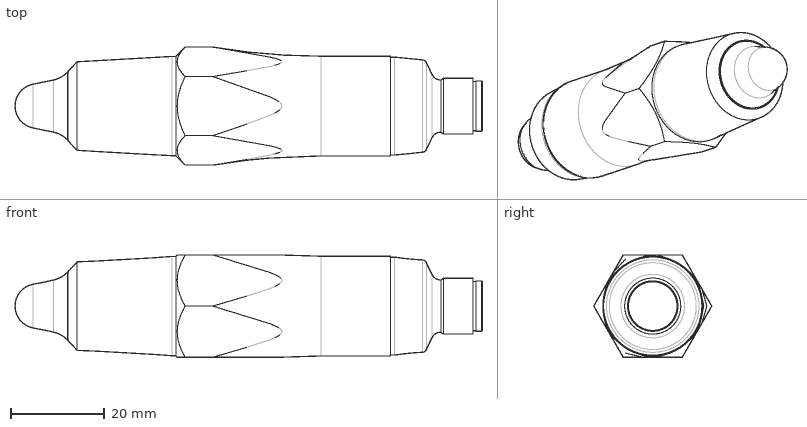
import cadquery as cq
import math

TOTAL_LENGTH = 100.2

DOME_RADIUS = 4.8
NOSE_HALF_ANGLE = math.radians(11.5)
NOSE_CONE_END = 8.2
FLARE_END = 11.2
SHANK_RADIUS = 14.5 / 2
SHANK_LENGTH = 12.0
SHANK_END = FLARE_END + SHANK_LENGTH

MOUTH_X = 11.4
MOUTH_RADIUS = 15.0 / 2
TAPER_START = 13.3
TAPER_START_RADIUS = 19.0 / 2
COLLAR_RADIUS = 21.3 / 2
FRONT_COLLAR_START = 33.7
HEX_START = 34.5

HEX_SIDES = 6
HEX_ACROSS_FLATS = 22.0
HEX_CORNER_RADIUS = HEX_ACROSS_FLATS / 2 / math.cos(math.pi / HEX_SIDES)
HEX_CHAMFER = HEX_CORNER_RADIUS - COLLAR_RADIUS
RUNOUT_START = 42.4
RUNOUT_END = 65.6

BARREL_RADIUS = 10.7
BARREL_END = 80.5
REAR_COLLAR_RADIUS = 10.5
REAR_COLLAR_END = 81.4

SHOULDER_START = 87.4
SHOULDER_START_RADIUS = 9.9
SHOULDER_CONE_START = 88.2
SHOULDER_CONE_START_RADIUS = 9.3
SHOULDER_CONE_END = 89.4
SHOULDER_CONE_END_RADIUS = 13.6 / 2
NECK_X = 91.3
NECK_RADIUS = 5.6

RING_RADIUS = 12.0 / 2
RING_START = 91.8
RING_END = 98.2
GROOVE_RADIUS = 10.6 / 2
GROOVE_END = 98.8
SPIGOT_RADIUS = 10.8 / 2
SPIGOT_CHAMFER = 0.2


def revolve_about_axis(profile):
    """Turn a closed half outline, drawn as (x, radius), about the X axis."""
    return profile.close().revolve(360, (0, 0, 0), (1, 0, 0))


def make_nose():
    dome_middle_angle = (math.pi / 2 - NOSE_HALF_ANGLE) / 2
    dome_middle = (
        DOME_RADIUS * (1 - math.cos(dome_middle_angle)),
        DOME_RADIUS * math.sin(dome_middle_angle),
    )
    dome_end_x = DOME_RADIUS * (1 - math.sin(NOSE_HALF_ANGLE))
    dome_end_radius = DOME_RADIUS * math.cos(NOSE_HALF_ANGLE)
    cone_rise = (NOSE_CONE_END - dome_end_x) * math.tan(NOSE_HALF_ANGLE)

    profile = (
        cq.Workplane("XY")
        .moveTo(0, 0)
        .threePointArc(dome_middle, (dome_end_x, dome_end_radius))
        .lineTo(NOSE_CONE_END, dome_end_radius + cone_rise)
        .tangentArcPoint((FLARE_END, SHANK_RADIUS), relative=False)
        .lineTo(SHANK_END, SHANK_RADIUS)
        .lineTo(SHANK_END, 0)
    )
    return revolve_about_axis(profile)


def runout_radius(x):
    """Radius at x of the large arc from the hexagon corners, tangent to the barrel."""
    length = RUNOUT_END - RUNOUT_START
    drop = HEX_CORNER_RADIUS - BARREL_RADIUS
    arc_radius = (length**2 + drop**2) / (2 * drop)
    return BARREL_RADIUS + arc_radius - math.sqrt(arc_radius**2 - (RUNOUT_END - x) ** 2)


def make_turned_housing():
    runout_middle = (RUNOUT_START + RUNOUT_END) / 2
    profile = (
        cq.Workplane("XY")
        .moveTo(MOUTH_X, 0)
        .lineTo(MOUTH_X, MOUTH_RADIUS)
        .lineTo(TAPER_START, TAPER_START_RADIUS)
        .lineTo(FRONT_COLLAR_START, COLLAR_RADIUS)
        .lineTo(HEX_START, COLLAR_RADIUS)
        .lineTo(HEX_START + HEX_CHAMFER, HEX_CORNER_RADIUS)
        .lineTo(RUNOUT_START, HEX_CORNER_RADIUS)
        .threePointArc((runout_middle, runout_radius(runout_middle)), (RUNOUT_END, BARREL_RADIUS))
        .lineTo(BARREL_END, BARREL_RADIUS)
        .lineTo(BARREL_END, REAR_COLLAR_RADIUS)
        .lineTo(REAR_COLLAR_END, REAR_COLLAR_RADIUS)
        .lineTo(SHOULDER_START, SHOULDER_START_RADIUS)
        .tangentArcPoint((SHOULDER_CONE_START, SHOULDER_CONE_START_RADIUS), relative=False)
        .lineTo(SHOULDER_CONE_END, SHOULDER_CONE_END_RADIUS)
        .tangentArcPoint((NECK_X, NECK_RADIUS), relative=False)
        .lineTo(RING_START, RING_RADIUS)
        .lineTo(RING_END, RING_RADIUS)
        .lineTo(RING_END, GROOVE_RADIUS)
        .lineTo(GROOVE_END, GROOVE_RADIUS)
        .lineTo(GROOVE_END, SPIGOT_RADIUS)
        .lineTo(TOTAL_LENGTH - SPIGOT_CHAMFER, SPIGOT_RADIUS)
        .lineTo(TOTAL_LENGTH, SPIGOT_RADIUS - SPIGOT_CHAMFER)
        .lineTo(TOTAL_LENGTH, 0)
    )
    return revolve_about_axis(profile)


def make_housing():
    hex_bar = cq.Workplane("YZ").polygon(HEX_SIDES, 2 * HEX_CORNER_RADIUS).extrude(TOTAL_LENGTH)
    bore = cq.Workplane("YZ").workplane(offset=MOUTH_X).circle(SHANK_RADIUS).extrude(SHANK_END - MOUTH_X)
    return make_turned_housing().intersect(hex_bar).cut(bore)


nose = make_nose()
housing = make_housing()

result = cq.Compound.makeCompound([nose.val(), housing.val()])